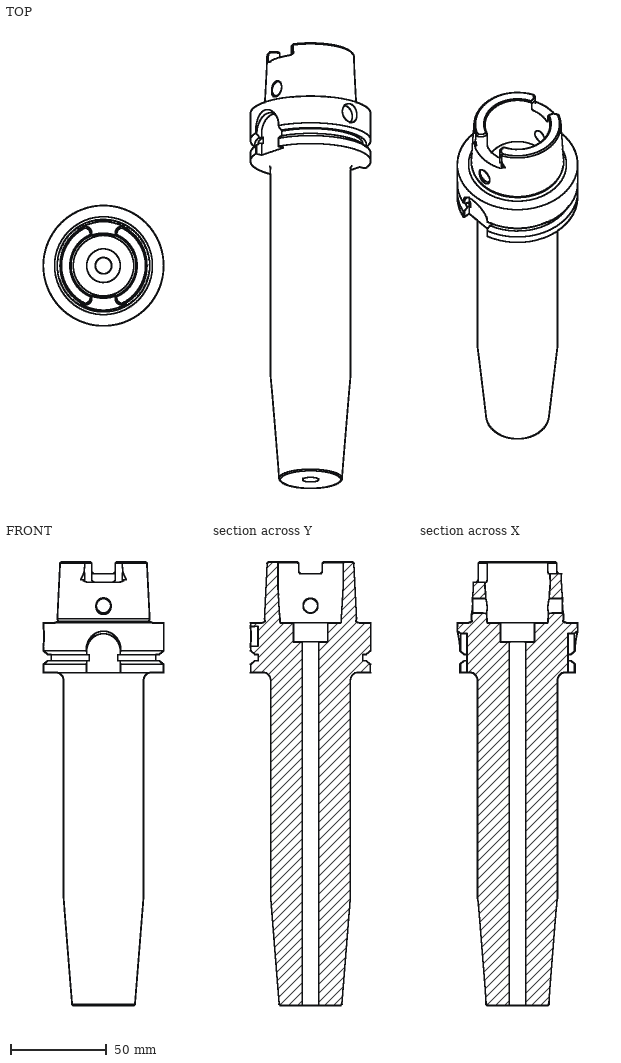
import cadquery as cq
import math


SHANK_LENGTH = 31.9
NOSE_LENGTH = 200.0
TOP_Z = SHANK_LENGTH
BOTTOM_Z = -NOSE_LENGTH
FLANGE_WIDTH = 26.0
GROOVE_CENTER_Z = -18.15
GROOVE_FLOOR_WIDTH = 3.1
GROOVE_MOUTH_WIDTH = 7.0
NOSE_TAPER_START_Z = -143.0

FLANGE_RADIUS = 31.5
GROOVE_RADIUS = 27.4
GROOVE_LEDGE_RADIUS = 29.1
BODY_RADIUS = 21.0
TIP_RADIUS = 16.5
TIP_CHAMFER = 0.7
BODY_FILLET = 4.0
SHANK_BASE_RADIUS = 24.2
SHANK_TOP_RADIUS = 22.75
SHANK_TOP_CHAMFER = 0.8
RELIEF_HEIGHT = 2.0
RELIEF_RADIUS = 23.8
RELIEF_FOOT_RADIUS = 25.6
RELIEF_FOOT_HEIGHT = 0.8

BORE_RADIUS = 17.0
BORE_CHAMFER = 0.6
BORE_STRAIGHT_DEPTH = 12.4
BORE_FLOOR_RADIUS = 15.8
BORE_FLOOR_Z = 0.0
SOCKET_RADIUS = 8.8
SOCKET_DEPTH = 10.0
COOLANT_RADIUS = 4.2

NOTCH_HALF_WIDTH = 6.1
NOTCH_FLARE_RADIUS = 3.7
NOTCH_FLAT_DISTANCE = 20.6
NOTCH_RIM_CHAMFER = 0.9
NOTCH_CHAMFER_ANGLE = 45
NOTCH_FLOOR_FILLET = 1.3
FRONT_NOTCH_DEPTH = 10.6
REAR_NOTCH_DEPTH = 6.2
WEDGE_HALF_WIDTH = 13.0
WEDGE_START_DEPTH = 6.0
WEDGE_UNDERCUT = 0.7

KEYWAY_HALF_WIDTH = 8.7
KEYWAY_FLAT_DISTANCE = 26.4
KEYWAY_CHAMFER_DEPTH = 0.7
KEYWAY_CHAMFER_ANGLE = 35
KEYWAY_ARC_CENTER_Z = -14.4

CROSS_HOLE_RADIUS = 3.75
CROSS_HOLE_CHAMFER = 0.9
CROSS_HOLE_Z = 8.9
CHIP_HOLE_RADIUS = 5.0
CHIP_HOLE_DEPTH = 4.0
CHIP_HOLE_Z = -7.0

CLEARANCE = 5.0


def turned_body():
    """Solid of revolution carrying the shank, flange, body and nose."""
    floor_half = GROOVE_FLOOR_WIDTH / 2
    mouth_half = GROOVE_MOUTH_WIDTH / 2
    fillet_mid = BODY_FILLET * (1 - math.sqrt(0.5))
    return (
        cq.Workplane("XZ")
        .moveTo(0, BOTTOM_Z)
        .lineTo(TIP_RADIUS - TIP_CHAMFER, BOTTOM_Z)
        .lineTo(TIP_RADIUS, BOTTOM_Z + TIP_CHAMFER)
        .lineTo(BODY_RADIUS, NOSE_TAPER_START_Z)
        .lineTo(BODY_RADIUS, -FLANGE_WIDTH - BODY_FILLET)
        .threePointArc(
            (BODY_RADIUS + fillet_mid, -FLANGE_WIDTH - fillet_mid),
            (BODY_RADIUS + BODY_FILLET, -FLANGE_WIDTH),
        )
        .lineTo(FLANGE_RADIUS, -FLANGE_WIDTH)
        .lineTo(FLANGE_RADIUS, GROOVE_CENTER_Z - mouth_half)
        .lineTo(GROOVE_LEDGE_RADIUS, GROOVE_CENTER_Z - floor_half)
        .lineTo(GROOVE_RADIUS, GROOVE_CENTER_Z - floor_half)
        .lineTo(GROOVE_RADIUS, GROOVE_CENTER_Z + floor_half)
        .lineTo(GROOVE_LEDGE_RADIUS, GROOVE_CENTER_Z + floor_half)
        .lineTo(FLANGE_RADIUS, GROOVE_CENTER_Z + mouth_half)
        .lineTo(FLANGE_RADIUS, 0)
        .lineTo(RELIEF_FOOT_RADIUS, 0)
        .lineTo(RELIEF_RADIUS, RELIEF_FOOT_HEIGHT)
        .lineTo(SHANK_BASE_RADIUS, RELIEF_HEIGHT)
        .lineTo(SHANK_TOP_RADIUS, TOP_Z - SHANK_TOP_CHAMFER)
        .lineTo(SHANK_TOP_RADIUS - SHANK_TOP_CHAMFER, TOP_Z)
        .lineTo(0, TOP_Z)
        .close()
        .revolve(360, (0, 0), (0, 1))
    )


def bore():
    """Clamping bore, coolant tube socket and coolant passage as one cutter."""
    socket_floor_z = BORE_FLOOR_Z - SOCKET_DEPTH
    return (
        cq.Workplane("XZ")
        .moveTo(0, BOTTOM_Z)
        .lineTo(COOLANT_RADIUS, BOTTOM_Z)
        .lineTo(COOLANT_RADIUS, socket_floor_z)
        .lineTo(SOCKET_RADIUS, socket_floor_z)
        .lineTo(SOCKET_RADIUS, BORE_FLOOR_Z)
        .lineTo(BORE_FLOOR_RADIUS, BORE_FLOOR_Z)
        .lineTo(BORE_RADIUS, TOP_Z - BORE_STRAIGHT_DEPTH)
        .lineTo(BORE_RADIUS, TOP_Z - BORE_CHAMFER)
        .lineTo(BORE_RADIUS + BORE_CHAMFER, TOP_Z)
        .lineTo(0, TOP_Z)
        .close()
        .revolve(360, (0, 0), (0, 1))
    )


def notch_profile(z):
    """Outline of a -Y drive notch at height z; its walls flare in arcs into a flat."""
    half = NOTCH_HALF_WIDTH
    flare = NOTCH_FLARE_RADIUS
    flat_y = -NOTCH_FLAT_DISTANCE
    flare_y = flat_y + flare
    mid_x = half + flare * (1 - math.sqrt(0.5))
    mid_y = flare_y - flare * math.sqrt(0.5)
    return (
        cq.Workplane("XY", origin=(0, 0, z))
        .moveTo(-half, 0)
        .lineTo(half, 0)
        .lineTo(half, flare_y)
        .threePointArc((mid_x, mid_y), (half + flare, flat_y))
        .lineTo(FLANGE_RADIUS, flat_y)
        .lineTo(FLANGE_RADIUS, -FLANGE_RADIUS)
        .lineTo(-FLANGE_RADIUS, -FLANGE_RADIUS)
        .lineTo(-FLANGE_RADIUS, flat_y)
        .lineTo(-half - flare, flat_y)
        .threePointArc((-mid_x, mid_y), (-half, flare_y))
        .close()
    )


def drive_notch(depth):
    """Cutter for a -Y notch in the rim, filleted at its floor and chamfered at the rim."""
    slot = notch_profile(TOP_Z - depth).extrude(depth).edges("<Z").fillet(NOTCH_FLOOR_FILLET)
    rim = notch_profile(TOP_Z - NOTCH_RIM_CHAMFER).extrude(NOTCH_RIM_CHAMFER, taper=-NOTCH_CHAMFER_ANGLE)
    return slot.union(rim)


def notch_wedges():
    """Pair of shallow wedges that deepen the flats beside the floor of the -Y notch."""
    start_z = TOP_Z - WEDGE_START_DEPTH
    floor_z = TOP_Z - FRONT_NOTCH_DEPTH + NOTCH_FLOOR_FILLET
    inner_x = NOTCH_HALF_WIDTH + NOTCH_FLARE_RADIUS
    wedge = (
        cq.Workplane("YZ", origin=(inner_x, 0, 0))
        .moveTo(-NOTCH_FLAT_DISTANCE, start_z)
        .lineTo(WEDGE_UNDERCUT - NOTCH_FLAT_DISTANCE, floor_z)
        .lineTo(-FLANGE_RADIUS, floor_z)
        .lineTo(-FLANGE_RADIUS, start_z)
        .close()
        .extrude(WEDGE_HALF_WIDTH - inner_x)
    )
    return wedge.union(wedge.mirror("YZ"))


def keyway_outline(half, y):
    """Round-topped keyway outline of the given half width, drawn in the plane at y."""
    return (
        cq.Workplane("XZ", origin=(0, y, 0))
        .moveTo(-half, -FLANGE_WIDTH)
        .lineTo(half, -FLANGE_WIDTH)
        .lineTo(half, KEYWAY_ARC_CENTER_Z)
        .threePointArc((0, KEYWAY_ARC_CENTER_Z + half), (-half, KEYWAY_ARC_CENTER_Z))
        .close()
    )


def keyway():
    """Keyway cutter on the -Y side, open toward the nose, with a chamfered rim."""
    rim_y = -math.sqrt(FLANGE_RADIUS**2 - KEYWAY_HALF_WIDTH**2)
    slot = keyway_outline(KEYWAY_HALF_WIDTH, -KEYWAY_FLAT_DISTANCE).extrude(FLANGE_RADIUS)
    rim_outline = keyway_outline(KEYWAY_HALF_WIDTH, rim_y + KEYWAY_CHAMFER_DEPTH)
    rim = rim_outline.extrude(CLEARANCE, taper=-KEYWAY_CHAMFER_ANGLE)
    return slot.union(rim)


def cross_hole():
    """Radial hole through both walls of the shank along Y, countersunk at each end."""
    end_y = SHANK_BASE_RADIUS
    neck_y = end_y - CROSS_HOLE_CHAMFER
    mouth_radius = CROSS_HOLE_RADIUS + CROSS_HOLE_CHAMFER
    return (
        cq.Workplane("XY", origin=(0, 0, CROSS_HOLE_Z))
        .moveTo(0, -end_y)
        .lineTo(mouth_radius, -end_y)
        .lineTo(CROSS_HOLE_RADIUS, -neck_y)
        .lineTo(CROSS_HOLE_RADIUS, neck_y)
        .lineTo(mouth_radius, end_y)
        .lineTo(0, end_y)
        .close()
        .revolve(360, (0, 0), (0, 1))
    )


def chip_hole():
    """Flat-bottomed blind hole for a data chip on the -X side of the flange."""
    return (
        cq.Workplane("YZ", origin=(-FLANGE_RADIUS - CLEARANCE, 0, CHIP_HOLE_Z))
        .circle(CHIP_HOLE_RADIUS)
        .extrude(CHIP_HOLE_DEPTH + CLEARANCE)
    )


def turned_to_back(cutter):
    """The same cutter moved from the -Y side to the +Y side."""
    return cutter.rotate((0, 0, 0), (0, 0, 1), 180)


body = turned_body().cut(bore())
body = body.cut(drive_notch(FRONT_NOTCH_DEPTH)).cut(notch_wedges())
body = body.cut(turned_to_back(drive_notch(REAR_NOTCH_DEPTH)))
body = body.cut(keyway()).cut(turned_to_back(keyway()))
result = body.cut(cross_hole()).cut(chip_hole())